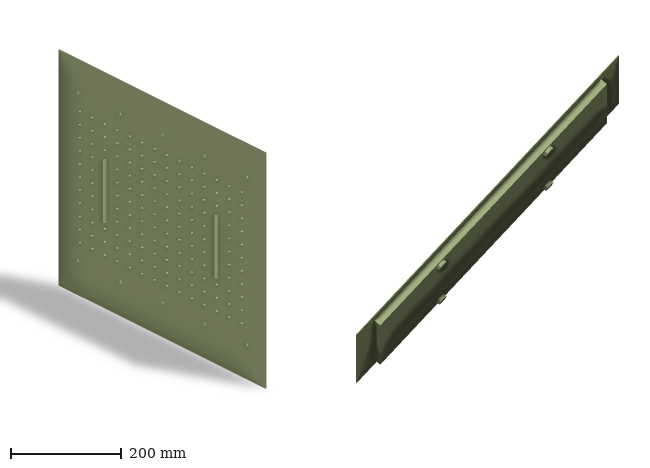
import cadquery as cq
import math

panel_length = 700.0
panel_height = 450.0
panel_thickness = 1.5
overall_depth = 28.3

chamber_length = 605.0
chamber_height = 365.0
chamber_depth = 14.0

inlet_columns = 2
inlet_rows = 2
inlet_across_flats = 18.0
inlet_across_corners = inlet_across_flats / math.cos(math.pi / 6)
inlet_height = 6.5
inlet_pitch_x = 285.0
inlet_pitch_z = 320.0
inlet_offset_z = 3.0

screw_columns = 5
screw_rows = 2
screw_pitch_x = inlet_pitch_x / 2
screw_pitch_z = inlet_pitch_z
screw_head_diameter = 9.0
screw_head_height = 2.0
screw_offset_x = 1.0
screw_offset_z = -1.0

nozzle_columns = 14
nozzle_rows = 11
nozzle_pitch_x = 42.0
nozzle_pitch_z = 25.0
nozzle_diameter = 4.5
nozzle_height = 4.0
nozzle_offset_x = -2.5
nozzle_offset_z = 2.0

ridge_columns = (2, 11)
ridge_spacing = 376.6
ridge_length = 120.0
ridge_root_width = 7.0
ridge_tip_width = 1.0
ridge_height = overall_depth - inlet_height - chamber_depth - panel_thickness

back_of_chamber = panel_thickness + chamber_depth


def grid(columns, rows, pitch_x, pitch_z, center_x=0.0, center_z=0.0):
    """Column, X and Z of every place in a rectangular grid."""
    return [
        (
            column,
            center_x + (column - (columns - 1) / 2) * pitch_x,
            center_z + (row - (rows - 1) / 2) * pitch_z,
        )
        for column in range(columns)
        for row in range(rows)
    ]


def plate(length, height, start_y, depth):
    """Block centred on the Y axis that reaches from start_y towards +Y."""
    return cq.Workplane("XY").box(length, depth, height).translate((0, start_y + depth / 2, 0))


def front_studs(places, diameter, height):
    """Round studs standing on the front face; they root in the full panel thickness."""
    return (
        cq.Workplane("XZ", origin=(0, panel_thickness, 0))
        .pushPoints(places)
        .circle(diameter / 2)
        .extrude(panel_thickness + height)
    )


def inlets():
    """Hexagonal inlets with corners along X."""
    places = [
        (x, z)
        for _, x, z in grid(inlet_columns, inlet_rows, inlet_pitch_x, inlet_pitch_z, center_z=inlet_offset_z)
    ]
    return (
        cq.Workplane("XZ", origin=(0, back_of_chamber, 0))
        .pushPoints(places)
        .polygon(6, inlet_across_corners)
        .extrude(-inlet_height)
    )


def screw_heads():
    places = [
        (x, z)
        for _, x, z in grid(
            screw_columns, screw_rows, screw_pitch_x, screw_pitch_z, screw_offset_x, screw_offset_z
        )
    ]
    return front_studs(places, screw_head_diameter, screw_head_height)


def nozzles():
    """Nozzle grid, left empty where the cascade ridges stand."""
    places = [
        (x, z)
        for column, x, z in grid(
            nozzle_columns, nozzle_rows, nozzle_pitch_x, nozzle_pitch_z, nozzle_offset_x, nozzle_offset_z
        )
        if not (column in ridge_columns and abs(z) < ridge_length / 2)
    ]
    return front_studs(places, nozzle_diameter, nozzle_height)


def ridge(side):
    """Ridge of trapezoidal section running along Z, on the -X (-1) or +X (+1) side."""
    center_x = nozzle_offset_x + side * ridge_spacing / 2
    return (
        cq.Workplane("XY", origin=(center_x, 0, -ridge_length / 2))
        .moveTo(-ridge_root_width / 2, 0)
        .lineTo(-ridge_tip_width / 2, -ridge_height)
        .lineTo(ridge_tip_width / 2, -ridge_height)
        .lineTo(ridge_root_width / 2, 0)
        .close()
        .extrude(ridge_length)
    )


result = (
    plate(panel_length, panel_height, 0, panel_thickness)
    .union(plate(chamber_length, chamber_height, panel_thickness, chamber_depth))
    .union(inlets())
    .union(screw_heads())
    .union(nozzles())
    .union(ridge(-1))
    .union(ridge(1))
)